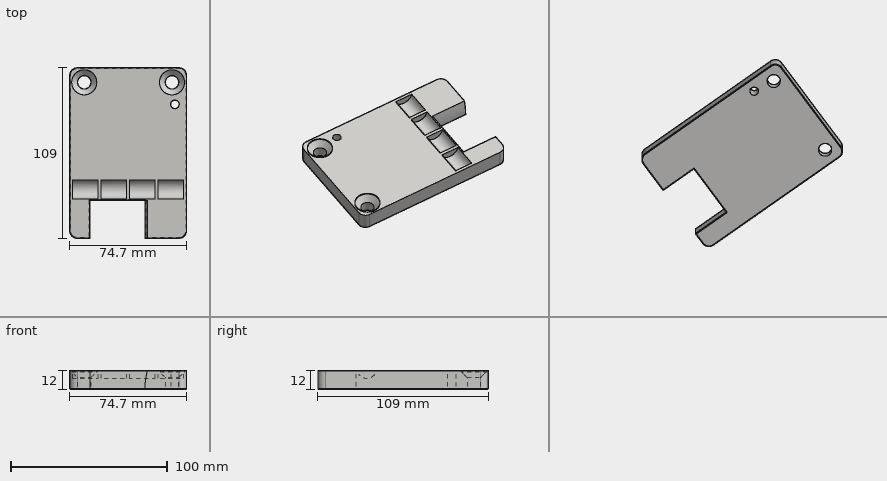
import cadquery as cq
import math

plate_width = 74.7
plate_length = 108.95
plate_thickness = 12.0
corner_radius = 5.0
bottom_chamfer = 0.5

left = -plate_width / 2
right = plate_width / 2
front = -plate_length / 2
back = plate_length / 2

screw_spacing = 56.0
screw_back_inset = (plate_width - screw_spacing) / 2
screw_hole_diameter = 8.4
screw_head_diameter = 16.0
screw_lip_depth = 0.7
screw_cone_depth = (screw_head_diameter - screw_hole_diameter) / 2

pin_hole_diameter = 5.3
pin_hole_right_inset = 7.5
pin_hole_back_inset = 23.4

notch_left_inset = 13.0
notch_narrowest_width = 35.1
notch_depth = 24.3
notch_wall_radius = 45.0
notch_wall_axis_height = bottom_chamfer

pocket_count = 4
pocket_length = 16.15
pocket_pitch = 18.2
pocket_width = 12.0
pocket_front_inset = 25.25
pocket_depth = 5.0


def make_screw_hole():
    """Revolved cutter: shank, cone and short cylindrical lip."""
    hole_radius = screw_hole_diameter / 2
    head_radius = screw_head_diameter / 2
    lip_bottom = plate_thickness - screw_lip_depth
    cone_bottom = lip_bottom - screw_cone_depth
    return (
        cq.Workplane("XZ")
        .polyline([
            (0, 0),
            (hole_radius, 0),
            (hole_radius, cone_bottom),
            (head_radius, lip_bottom),
            (head_radius, plate_thickness),
            (0, plate_thickness),
        ])
        .close()
        .revolve(360, (0, 0), (0, 1))
    )


def make_notch():
    """Front notch; its right wall is an arc that turns vertical at the top of the bottom chamfer."""
    notch_left = left + notch_left_inset
    narrowest_right = notch_left + notch_narrowest_width
    arc_center = narrowest_right + notch_wall_radius

    def wall_x(z):
        return arc_center - math.sqrt(notch_wall_radius**2 - (z - notch_wall_axis_height) ** 2)

    return (
        cq.Workplane("XZ", origin=(0, front, 0))
        .moveTo(notch_left, 0)
        .lineTo(wall_x(0), 0)
        .threePointArc(
            (wall_x(plate_thickness / 2), plate_thickness / 2),
            (wall_x(plate_thickness), plate_thickness),
        )
        .lineTo(notch_left, plate_thickness)
        .close()
        .extrude(-notch_depth)
    )


def make_plate():
    """Round-cornered, notched plate with the whole bottom outline chamfered."""
    plate = cq.Workplane("XY").box(
        plate_width, plate_length, plate_thickness, centered=(True, True, False)
    )
    plate = plate.edges("|Z").fillet(corner_radius)
    plate = plate.cut(make_notch())
    return plate.faces("<Z").edges().chamfer(bottom_chamfer)


def make_pocket():
    """Trough cutter whose floor is an arc through both top edges and the deepest line."""
    half_width = pocket_width / 2
    pocket_y = front + pocket_front_inset + half_width
    return (
        cq.Workplane("YZ", origin=(-pocket_length / 2, pocket_y, plate_thickness))
        .moveTo(-half_width, 0)
        .threePointArc((0, -pocket_depth), (half_width, 0))
        .close()
        .extrude(pocket_length)
    )


def make_pin_hole():
    """Straight cutter through the full thickness."""
    return (
        cq.Workplane("XY")
        .center(right - pin_hole_right_inset, back - pin_hole_back_inset)
        .circle(pin_hole_diameter / 2)
        .extrude(plate_thickness)
    )


result = make_plate().cut(make_pin_hole())

for side in (-1, 1):
    screw_x = side * screw_spacing / 2
    screw_y = back - screw_back_inset
    result = result.cut(make_screw_hole().translate((screw_x, screw_y, 0)))

for index in range(pocket_count):
    pocket_x = (index - (pocket_count - 1) / 2) * pocket_pitch
    result = result.cut(make_pocket().translate((pocket_x, 0, 0)))